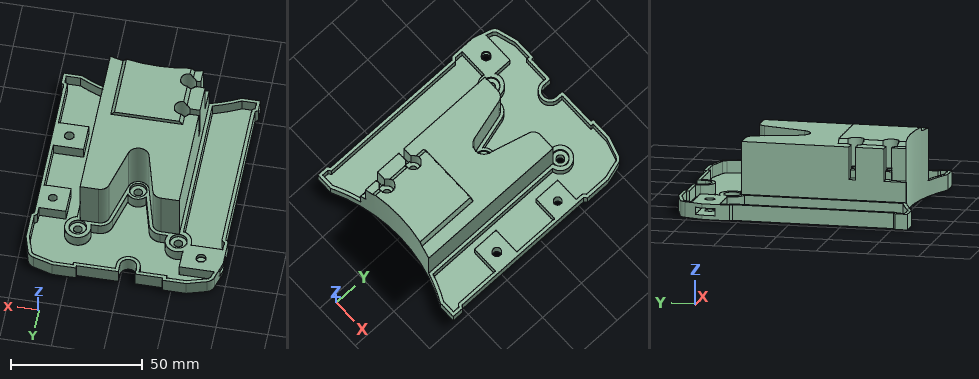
import cadquery as cq
import math

width = 76.2
length = 92.0
height = 28.4
base_height = 6.2
floor_thickness = 1.4
wall = 1.4

half_width = width / 2
side_recess = 1.1
recess_front = (4.9, 5.6)
recess_back = (68.4, 69.4)
front_arc_half = 30.8
front_arc_rise = 7.5
shoulder_y = 80.1
corner_x, corner_y = 35.4, 89.2
corner_radius = 3.7
back_flat_x = 25.95
back_step_x = 16.7
back_step = 1.1
notch_x = -2.8
notch_radius = 3.2
notch_centre_y = 87.6

block_half = 19.1
block_back = 69.0
block_top = 26.8
vee_y = 50.8
vee_radius = 4.1
vee_angle = math.radians(15)
vee_corner_radius = 3.7

plateau_half = 13.9
plateau_slope = 1.4
plateau_back = 32.5

boss_x = 19.4
boss_y = 72.4
tray_bosses = [(-boss_x, boss_y, 5.1), (boss_x, boss_y, 5.1), (0, vee_y, 4.4)]
screw_hole = 3.2
boss_recess_radius = 3.3
boss_recess_depth = 1.4

pad_length = 11.1
left_pad_y = 78.95
mounting_pads = [
    (-21.9, -half_width, left_pad_y, -29.4, 3.7),
    (25.2, half_width, 60.2, 31.3, 3.2),
    (23.9, half_width, 29.5, 30.5, 3.6),
]

nut_slot_length = 7.7
nut_slot_bottom = 1.75
nut_slot_height = 2.8
nut_slot_end = -25.5

well_x = -12.5
well_ys = (25.9, 12.2)
well_radius = 3.0
well_floor = 17.2
slot_width = 2.6
slot_floor = 14.1
slot_step_x = -16.0
relief_x = -17.0


def box(x0, x1, y0, y1, z0, z1):
    """Box between two opposite corners."""
    return cq.Workplane("XY").box(x1 - x0, y1 - y0, z1 - z0, centered=False).translate((x0, y0, z0))


def cylinder(x, y, radius, z0, z1):
    """Upright cylinder between two heights."""
    return cq.Workplane("XY", origin=(x, y, z0)).circle(radius).extrude(z1 - z0)


def base_outline():
    """Closed wire around the base, symmetric except for the cable notch."""
    side = [
        (half_width, 0),
        (half_width, recess_front[0]),
        (half_width - side_recess, recess_front[1]),
        (half_width - side_recess, recess_back[0]),
        (half_width, recess_back[1]),
        (half_width, shoulder_y),
        (corner_x, corner_y),
        (back_flat_x, length),
        (back_step_x, length),
        (back_step_x, length - back_step),
    ]
    outline = cq.Workplane("XY").moveTo(-front_arc_half, 0)
    outline = outline.threePointArc((0, front_arc_rise), (front_arc_half, 0))
    for point in side:
        outline = outline.lineTo(*point)
    outline = (
        outline.lineTo(notch_x + notch_radius, length - back_step)
        .lineTo(notch_x + notch_radius, notch_centre_y)
        .threePointArc((notch_x, notch_centre_y - notch_radius), (notch_x - notch_radius, notch_centre_y))
        .lineTo(notch_x - notch_radius, length - back_step)
    )
    for x, y in reversed(side):
        outline = outline.lineTo(-x, y)
    return outline.close()


def base_prism(z0, z1, inset=0.0):
    """Base outline, optionally inset, between two heights, with its slanted back corners rounded."""
    outline = base_outline()
    if inset:
        outline = outline.offset2D(-inset, "intersection")
    prism = outline.extrude(z1 - z0).translate((0, 0, z0))
    for side in (-1, 1):
        corner = (side * (corner_x - inset), corner_y - inset, (z0 + z1) / 2)
        prism = prism.edges("|Z").edges(cq.selectors.NearestToPointSelector(corner)).fillet(corner_radius - inset)
    return prism


def block_outline():
    """Block plan: a rectangle with a round-bottomed V open to the back."""
    tangent_x = vee_radius * math.cos(vee_angle)
    tangent_y = vee_y - vee_radius * math.sin(vee_angle)
    mouth = tangent_x + (block_back - tangent_y) * math.tan(vee_angle)
    setback = vee_corner_radius * math.tan((math.pi / 2 - vee_angle) / 2)
    centre_x = mouth + setback
    centre_y = block_back - vee_corner_radius
    end_x = mouth - setback * math.sin(vee_angle)
    end_y = block_back - setback * math.cos(vee_angle)
    middle = math.pi / 2 + (math.pi / 2 - vee_angle) / 2
    mid_x = centre_x + vee_corner_radius * math.cos(middle)
    mid_y = centre_y + vee_corner_radius * math.sin(middle)
    return (
        cq.Workplane("XY")
        .moveTo(-block_half, -wall)
        .lineTo(block_half, -wall)
        .lineTo(block_half, block_back)
        .lineTo(centre_x, block_back)
        .threePointArc((mid_x, mid_y), (end_x, end_y))
        .lineTo(tangent_x, tangent_y)
        .threePointArc((0, vee_y - vee_radius), (-tangent_x, tangent_y))
        .lineTo(-end_x, end_y)
        .threePointArc((-mid_x, mid_y), (-centre_x, block_back))
        .lineTo(-block_half, block_back)
        .close()
    )


def pocket():
    """Tray recess left between the outer wall, block wall, bosses and pads."""
    space = base_prism(floor_thickness, base_height, wall)
    space = space.cut(block_outline().offset2D(wall, "intersection").extrude(height))
    for x, y, radius in tray_bosses:
        space = space.cut(cylinder(x, y, radius, 0, height))
    for inner, outer, middle, _, _ in mounting_pads:
        x0, x1 = sorted((inner, outer))
        space = space.cut(box(x0, x1, middle - pad_length / 2, middle + pad_length / 2, 0, height))
    return space


def plateau():
    """Low platform with sloping sides, running to the front of the block."""
    profile = [
        (-plateau_half, block_top),
        (plateau_half, block_top),
        (plateau_half - plateau_slope, height),
        (-plateau_half + plateau_slope, height),
    ]
    return cq.Workplane("XZ").polyline(profile).close().extrude(-plateau_back)


def well_cuts():
    """Screw wells, side slots and the relief at the front of the left face."""
    front_slot_edge = min(well_ys) - slot_width / 2
    cuts = box(-block_half, relief_x, 0, front_slot_edge, slot_floor, height)
    for y in well_ys:
        y0, y1 = y - slot_width / 2, y + slot_width / 2
        cuts = cuts.union(cylinder(well_x, y, well_radius, well_floor, height))
        cuts = cuts.union(cylinder(well_x, y, screw_hole / 2, 0, height))
        cuts = cuts.union(box(-block_half, slot_step_x, y0, y1, slot_floor, height))
        cuts = cuts.union(box(slot_step_x, well_x, y0, y1, well_floor, height))
    return cuts


def hole_cuts():
    """Tray boss holes with recesses, pad holes and the nut slot."""
    cuts = box(-half_width, nut_slot_end, left_pad_y - nut_slot_length / 2, left_pad_y + nut_slot_length / 2,
               nut_slot_bottom, nut_slot_bottom + nut_slot_height)
    for x, y, _ in tray_bosses:
        cuts = cuts.union(cylinder(x, y, screw_hole / 2, 0, base_height))
        cuts = cuts.union(cylinder(x, y, boss_recess_radius, base_height - boss_recess_depth, base_height))
    for _, _, middle, hole_x, diameter in mounting_pads:
        cuts = cuts.union(cylinder(hole_x, middle, diameter / 2, 0, base_height))
    return cuts


base = base_prism(0, base_height).cut(pocket())
block = block_outline().extrude(block_top).union(plateau())
block = block.intersect(base_prism(0, height))
result = base.cut(hole_cuts()).union(block).cut(well_cuts())